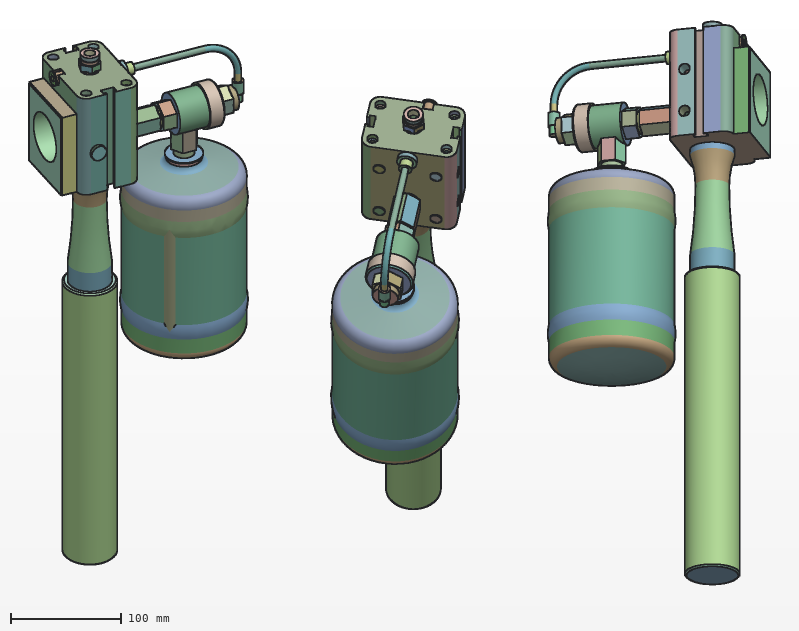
import cadquery as cq
import math


HOUSING_HALF_X = 44.0
HOUSING_HALF_Y = 30.0
HOUSING_BOTTOM = 412.5
HOUSING_TOP = 515.5
HOUSING_CORNER_RADIUS = 9.5
SLOT_OPENING = 8.0
SLOT_WIDTH = 13.0
SLOT_LIP = 2.4
SLOT_DEPTH = 8.0
COVER_SCREW_DIAMETER = 9.5
COVER_SCREW_DEPTH = 5.5
COVER_SOCKET_DIAMETER = 5.0
COVER_SOCKET_DEPTH = 9.5
SIDE_HOLE_DIAMETER = 10.0
SIDE_HOLE_DEPTH = 16.0
SIDE_HOLE_Y = 14.0
SIDE_HOLE_HEIGHTS = (436.0, 476.5)
REAR_SCREW_DIAMETER = 10.5
REAR_SCREW_HEIGHT = 1.0
REAR_SCREW_X = 26.0
REAR_SCREW_HEIGHTS = (426.5, 486.0)

PORT_HALF_X = 34.0
PORT_FRONT_Y = -45.5
PORT_TOP = 495.5
PORT_CHAMFER = 1.0
PORT_Z = 456.0
PORT_BORE_DIAMETER = 47.0
PORT_BORE_DEPTH = 23.0

PLUG_DIAMETER = 15.0
PLUG_HEIGHT = 3.0
PLUG_Y = -13.5

VENT_X = -9.0
VENT_Z = 510.0
VENT_HEAD_DIAMETER = 14.0
VENT_HEAD_THICKNESS = 1.0
VENT_NECK_DIAMETER = 10.0
VENT_SOCKET_DIAMETER = 5.5
VENT_FRONT_Y = -33.0
VENT_SEAT_Y = -23.0

CONNECTOR_TOP = 533.5
CONNECTOR_RING_BOTTOM = 529.0
CONNECTOR_NUT_BOTTOM = 518.0
CONNECTOR_NUT_TOP = 525.0
CONNECTOR_DIAMETER = 16.5
CONNECTOR_RING_DIAMETER = 17.5
CONNECTOR_NUT_CORNERS = 21.5
CONNECTOR_NUT_TURN = 45
CONNECTOR_SOCKET_DIAMETER = 10.0
CONNECTOR_SOCKET_DEPTH = 8.0

SILENCER_RADIUS = 25.0
SILENCER_TOP = 291.0
SILENCER_CHAMFER = 1.5
PIPE_RADIUS = 20.5
WAIST_RADIUS = 15.5
PIPE_FLARE_BOTTOM = 310.5
WAIST_Z = 378.0
PIPE_FLARE_TOP = 406.5

TANK_Y = 95.0
TANK_RADIUS = 57.0
TANK_BAND_RADIUS = 58.0
TANK_BOTTOM = 205.5
TANK_CROWN_RADIUS = 49.5
LOWER_CROWN_Z = 212.5
LOWER_SHOULDER_Z = 221.5
LOWER_BAND = (236.5, 252.0)
UPPER_BAND = (345.0, 362.5)
UPPER_SHOULDER_Z = 374.5
UPPER_CROWN_Z = 386.0
COLLAR_FOOT_RADIUS = 22.0
COLLAR_FOOT_Z = 390.5
COLLAR_RADIUS = 16.5
COLLAR_NECK_Z = 396.0
COLLAR_RIM_RADIUS = 17.5
COLLAR_RIM_THICKNESS = 1.0
COLLAR_TOP = 401.0
TANK_STEM_RADIUS = 9.5
TANK_BEAD_ANGLE = -39
TANK_BEAD_DIAMETER = 22.5

VALVE_Z = 446.0
VALVE_BODY_RADIUS = 20.0
VALVE_BODY_FRONT = 81.5
VALVE_CAP_RADIUS = 22.0
VALVE_CAP_FRONT = 111.5
VALVE_CAP_BACK = 126.5
VALVE_CAP_CHAMFER = 1.5
VALVE_NUT_CORNERS = 30.0
VALVE_NUT_FRONT = 68.5
VALVE_NUT_BACK = 139.0
VALVE_DISC_RADIUS = 12.0
OUTLET_CORNERS = 26.5
OUTLET_TURN = 90
OUTLET_BOTTOM = 408.0
NIPPLE_CORNERS = 28.0
NIPPLE_FRONT = 32.5
NIPPLE_BACK = 65.5
NIPPLE_NECK_RADIUS = 10.5

CABLE_Y = 149.5
CABLE_Z = 506.0
CABLE_DIAMETER = 6.5
CABLE_BEND_RADIUS = 34.0
CABLE_PLUG_RADIUS = 5.5
CABLE_PLUG_TOP = 463.0
CABLE_PLUG_STEP = 450.5
CABLE_TIP_RADIUS = 4.5
CABLE_TIP_BOTTOM = 442.0
GLAND_RADIUS = 6.0
GLAND_BACK = 42.5
GLAND_FLANGE_RADIUS = 9.0
GLAND_FLANGE_BACK = 34.5


def cylinder_x(diameter, x_start, x_end, y, z):
    """Round bar along X between two X positions."""
    return cq.Workplane("YZ", origin=(x_start, y, z)).circle(diameter / 2).extrude(x_end - x_start)


def cylinder_y(diameter, y_start, y_end, x, z):
    """Round bar along Y between two Y positions, y_start below y_end."""
    return cq.Workplane("XZ", origin=(x, y_end, z)).circle(diameter / 2).extrude(y_end - y_start)


def cylinder_z(diameter, z_start, z_end, x=0, y=0):
    """Round bar along Z between two Z positions."""
    return cq.Workplane("XY", origin=(x, y, z_start)).circle(diameter / 2).extrude(z_end - z_start)


def hexagon_y(corners, y_start, y_end, z):
    """Hexagonal bar along Y with two of its corners pointing up and down."""
    profile = cq.Workplane("XZ", origin=(0, y_end, z)).transformed(rotate=(0, 0, 90))
    return profile.polygon(6, corners).extrude(y_end - y_start)


def hexagon_z(corners, z_start, z_end, y, turn):
    """Hexagonal bar along Z with its first corner turned by an angle from +X."""
    profile = cq.Workplane("XY", origin=(0, y, z_start)).transformed(rotate=(0, 0, turn))
    return profile.polygon(6, corners).extrude(z_end - z_start)


def housing_block():
    """Rounded block with T-slots in its sides and screw recesses in its corners."""
    height = HOUSING_TOP - HOUSING_BOTTOM
    block = (
        cq.Workplane("XY", origin=(0, 0, HOUSING_BOTTOM))
        .rect(2 * HOUSING_HALF_X, 2 * HOUSING_HALF_Y)
        .extrude(height)
        .edges("|Z")
        .fillet(HOUSING_CORNER_RADIUS)
    )
    floor_x = HOUSING_HALF_X - SLOT_DEPTH
    lip_x = HOUSING_HALF_X - SLOT_LIP
    for side in (-1, 1):
        opening_x = side * (floor_x + HOUSING_HALF_X) / 2
        groove_x = side * (floor_x + lip_x) / 2
        opening = cq.Workplane("XY", origin=(opening_x, 0, HOUSING_BOTTOM)).rect(SLOT_DEPTH, SLOT_OPENING)
        groove = cq.Workplane("XY", origin=(groove_x, 0, HOUSING_BOTTOM)).rect(lip_x - floor_x, SLOT_WIDTH)
        block = block.cut(opening.extrude(height)).cut(groove.extrude(height))

    screw_x = HOUSING_HALF_X - HOUSING_CORNER_RADIUS
    screw_y = HOUSING_HALF_Y - HOUSING_CORNER_RADIUS
    for x in (-screw_x, screw_x):
        for y in (-screw_y, screw_y):
            recess = cylinder_z(COVER_SCREW_DIAMETER, HOUSING_TOP - COVER_SCREW_DEPTH, HOUSING_TOP, x, y)
            socket = cylinder_z(COVER_SOCKET_DIAMETER, HOUSING_TOP - COVER_SOCKET_DEPTH, HOUSING_TOP, x, y)
            block = block.cut(recess).cut(socket)

    for z in SIDE_HOLE_HEIGHTS:
        hole_end = SIDE_HOLE_DEPTH - HOUSING_HALF_X
        block = block.cut(cylinder_x(SIDE_HOLE_DIAMETER, -HOUSING_HALF_X, hole_end, SIDE_HOLE_Y, z))
    return block


def port_block():
    """Block in front of the housing, chamfered along the top and sides of its front face."""
    return (
        cq.Workplane("XZ", origin=(0, -HOUSING_HALF_Y, 0))
        .center(0, (HOUSING_BOTTOM + PORT_TOP) / 2)
        .rect(2 * PORT_HALF_X, PORT_TOP - HOUSING_BOTTOM)
        .extrude(-HOUSING_HALF_Y - PORT_FRONT_Y)
        .faces("<Y")
        .edges("not <Z")
        .chamfer(PORT_CHAMFER)
    )


def vent_screw():
    """Flat-headed screw whose neck stands in a seat in the cover."""
    head_back = VENT_FRONT_Y + VENT_HEAD_THICKNESS
    head = cylinder_y(VENT_HEAD_DIAMETER, VENT_FRONT_Y, head_back, VENT_X, VENT_Z)
    neck = cylinder_y(VENT_NECK_DIAMETER, VENT_FRONT_Y, VENT_SEAT_Y, VENT_X, VENT_Z)
    socket = cylinder_y(VENT_SOCKET_DIAMETER, VENT_FRONT_Y, -HOUSING_HALF_Y, VENT_X, VENT_Z)
    return head.union(neck).cut(socket)


def connector():
    """Round socket with a hexagonal nut on top of the cover."""
    barrel = cylinder_z(CONNECTOR_DIAMETER, HOUSING_TOP, CONNECTOR_TOP)
    ring = cylinder_z(CONNECTOR_RING_DIAMETER, CONNECTOR_RING_BOTTOM, CONNECTOR_TOP)
    nut = hexagon_z(CONNECTOR_NUT_CORNERS, CONNECTOR_NUT_BOTTOM, CONNECTOR_NUT_TOP, 0, CONNECTOR_NUT_TURN)
    socket = cylinder_z(CONNECTOR_SOCKET_DIAMETER, CONNECTOR_TOP - CONNECTOR_SOCKET_DEPTH, CONNECTOR_TOP)
    return barrel.union(ring).union(nut).cut(socket)


def silencer():
    """Cylindrical silencer and the waisted pipe that carries it, turned about Z."""
    mid_radius = WAIST_RADIUS + (PIPE_RADIUS - WAIST_RADIUS) / 4
    rim_radius = SILENCER_RADIUS - SILENCER_CHAMFER
    return (
        cq.Workplane("XZ")
        .lineTo(rim_radius, 0)
        .lineTo(SILENCER_RADIUS, SILENCER_CHAMFER)
        .lineTo(SILENCER_RADIUS, SILENCER_TOP - SILENCER_CHAMFER)
        .lineTo(rim_radius, SILENCER_TOP)
        .lineTo(PIPE_RADIUS, SILENCER_TOP)
        .lineTo(PIPE_RADIUS, PIPE_FLARE_BOTTOM)
        .threePointArc((mid_radius, (PIPE_FLARE_BOTTOM + WAIST_Z) / 2), (WAIST_RADIUS, WAIST_Z))
        .threePointArc((mid_radius, (WAIST_Z + PIPE_FLARE_TOP) / 2), (PIPE_RADIUS, PIPE_FLARE_TOP))
        .lineTo(PIPE_RADIUS, HOUSING_BOTTOM)
        .lineTo(0, HOUSING_BOTTOM)
        .close()
        .revolve(360, (0, 0, 0), (0, 1, 0))
    )


def make_ejector():
    """Housing with its port, fittings and silencer."""
    seat = cylinder_y(VENT_HEAD_DIAMETER, -HOUSING_HALF_Y, VENT_SEAT_Y, VENT_X, VENT_Z)
    plug = cylinder_x(PLUG_DIAMETER, HOUSING_HALF_X, HOUSING_HALF_X + PLUG_HEIGHT, PLUG_Y, PORT_Z)
    bore_end = PORT_FRONT_Y + PORT_BORE_DEPTH
    bore = cylinder_y(PORT_BORE_DIAMETER, PORT_FRONT_Y, bore_end, 0, PORT_Z)
    ejector = housing_block().cut(seat)
    for fitting in (port_block(), vent_screw(), connector(), silencer(), plug):
        ejector = ejector.union(fitting)
    rear_y = HOUSING_HALF_Y + REAR_SCREW_HEIGHT
    for x in (-REAR_SCREW_X, REAR_SCREW_X):
        for z in REAR_SCREW_HEIGHTS:
            ejector = ejector.union(cylinder_y(REAR_SCREW_DIAMETER, HOUSING_HALF_Y, rear_y, x, z))
    return ejector.cut(bore)


def bulge(profile, band):
    """Add one outward-curved band of the tank to a profile that climbs the tank wall."""
    bottom, top = band
    return (
        profile.lineTo(TANK_RADIUS, bottom)
        .threePointArc((TANK_BAND_RADIUS, (bottom + top) / 2), (TANK_RADIUS, top))
    )


def shoulder_middle(crown_z, shoulder_z):
    """Point halfway along the quarter ellipse between the tank wall and its crown."""
    half_turn = math.sqrt(0.5)
    radius = TANK_CROWN_RADIUS + (TANK_RADIUS - TANK_CROWN_RADIUS) * half_turn
    return (radius, shoulder_z + (crown_z - shoulder_z) * half_turn)


def tank():
    """Domed tank with two bands, a flared collar and a stem, turned about its own axis."""
    dome_sag = LOWER_CROWN_Z - TANK_BOTTOM
    dome_middle = (TANK_CROWN_RADIUS / 2, TANK_BOTTOM + dome_sag / 4)
    lower_middle = shoulder_middle(LOWER_CROWN_Z, LOWER_SHOULDER_Z)
    upper_middle = shoulder_middle(UPPER_CROWN_Z, UPPER_SHOULDER_Z)
    flare_middle = (
        COLLAR_RADIUS + (COLLAR_FOOT_RADIUS - COLLAR_RADIUS) / 4,
        (COLLAR_FOOT_Z + COLLAR_NECK_Z) / 2,
    )
    profile = (
        cq.Workplane("XZ", origin=(0, TANK_Y, 0))
        .moveTo(0, TANK_BOTTOM)
        .threePointArc(dome_middle, (TANK_CROWN_RADIUS, LOWER_CROWN_Z))
        .threePointArc(lower_middle, (TANK_RADIUS, LOWER_SHOULDER_Z))
    )
    profile = bulge(bulge(profile, LOWER_BAND), UPPER_BAND)
    return (
        profile.lineTo(TANK_RADIUS, UPPER_SHOULDER_Z)
        .threePointArc(upper_middle, (TANK_CROWN_RADIUS, UPPER_CROWN_Z))
        .lineTo(COLLAR_FOOT_RADIUS, COLLAR_FOOT_Z)
        .threePointArc(flare_middle, (COLLAR_RADIUS, COLLAR_NECK_Z))
        .lineTo(COLLAR_RADIUS, COLLAR_TOP - COLLAR_RIM_THICKNESS)
        .lineTo(COLLAR_RIM_RADIUS, COLLAR_TOP - COLLAR_RIM_THICKNESS)
        .lineTo(COLLAR_RIM_RADIUS, COLLAR_TOP)
        .lineTo(TANK_STEM_RADIUS, COLLAR_TOP)
        .lineTo(TANK_STEM_RADIUS, OUTLET_BOTTOM)
        .lineTo(0, OUTLET_BOTTOM)
        .close()
        .revolve(360, (0, 0, 0), (0, 1, 0))
    )


def valve():
    """Valve with its cap, nuts, outlet to the tank and nipple to the housing."""
    body = cylinder_y(2 * VALVE_BODY_RADIUS, VALVE_BODY_FRONT, VALVE_CAP_FRONT, 0, VALVE_Z)
    cap = cylinder_y(2 * VALVE_CAP_RADIUS, VALVE_CAP_FRONT, VALVE_CAP_BACK, 0, VALVE_Z)
    cap = cap.faces(">Y").chamfer(VALVE_CAP_CHAMFER)
    parts = (
        cap,
        hexagon_y(VALVE_NUT_CORNERS, VALVE_NUT_FRONT, VALVE_BODY_FRONT, VALVE_Z),
        hexagon_y(VALVE_NUT_CORNERS, VALVE_CAP_BACK, VALVE_NUT_BACK, VALVE_Z),
        cylinder_y(2 * VALVE_DISC_RADIUS, VALVE_NUT_BACK, CABLE_Y - CABLE_TIP_RADIUS, 0, VALVE_Z),
        hexagon_z(OUTLET_CORNERS, OUTLET_BOTTOM, VALVE_Z, TANK_Y, OUTLET_TURN),
        hexagon_y(NIPPLE_CORNERS, NIPPLE_FRONT, NIPPLE_BACK, VALVE_Z),
        cylinder_y(2 * NIPPLE_NECK_RADIUS, HOUSING_HALF_Y, VALVE_BODY_FRONT, 0, VALVE_Z),
    )
    for part in parts:
        body = body.union(part)
    return body


def cable():
    """Cable that bends a quarter turn from its plug on the valve to its gland on the cover."""
    bend_start = (CABLE_Y, CABLE_Z - CABLE_BEND_RADIUS)
    bend_end = (CABLE_Y - CABLE_BEND_RADIUS, CABLE_Z)
    path = (
        cq.Workplane("YZ")
        .moveTo(CABLE_Y, CABLE_PLUG_STEP)
        .lineTo(*bend_start)
        .tangentArcPoint(bend_end, relative=False)
        .lineTo(GLAND_FLANGE_BACK, CABLE_Z)
    )
    cord = cq.Workplane("XY", origin=(0, CABLE_Y, CABLE_PLUG_STEP)).circle(CABLE_DIAMETER / 2).sweep(path)
    plug = cylinder_z(2 * CABLE_PLUG_RADIUS, CABLE_PLUG_STEP, CABLE_PLUG_TOP, 0, CABLE_Y)
    tip = cylinder_z(2 * CABLE_TIP_RADIUS, CABLE_TIP_BOTTOM, CABLE_PLUG_STEP, 0, CABLE_Y)
    gland = cylinder_y(2 * GLAND_RADIUS, GLAND_FLANGE_BACK, GLAND_BACK, 0, CABLE_Z)
    flange = cylinder_y(2 * GLAND_FLANGE_RADIUS, HOUSING_HALF_Y, GLAND_FLANGE_BACK, 0, CABLE_Z)
    return cord.union(plug).union(tip).union(gland).union(flange)


def tank_bead():
    """Shallow upright bead on the tank wall that fades out at the crests of the two bands."""
    axis_radius = TANK_BAND_RADIUS - TANK_BEAD_DIAMETER / 2
    angle = math.radians(TANK_BEAD_ANGLE)
    x = axis_radius * math.cos(angle)
    y = TANK_Y + axis_radius * math.sin(angle)
    return cylinder_z(TANK_BEAD_DIAMETER, sum(LOWER_BAND) / 2, sum(UPPER_BAND) / 2, x, y)


def make_release_unit():
    """Tank with the valve and cable that connect it to the ejector."""
    return tank().union(tank_bead()).union(valve()).union(cable())


ejector = make_ejector()
release_unit = make_release_unit()

result = cq.Compound.makeCompound([ejector.val(), release_unit.val()])